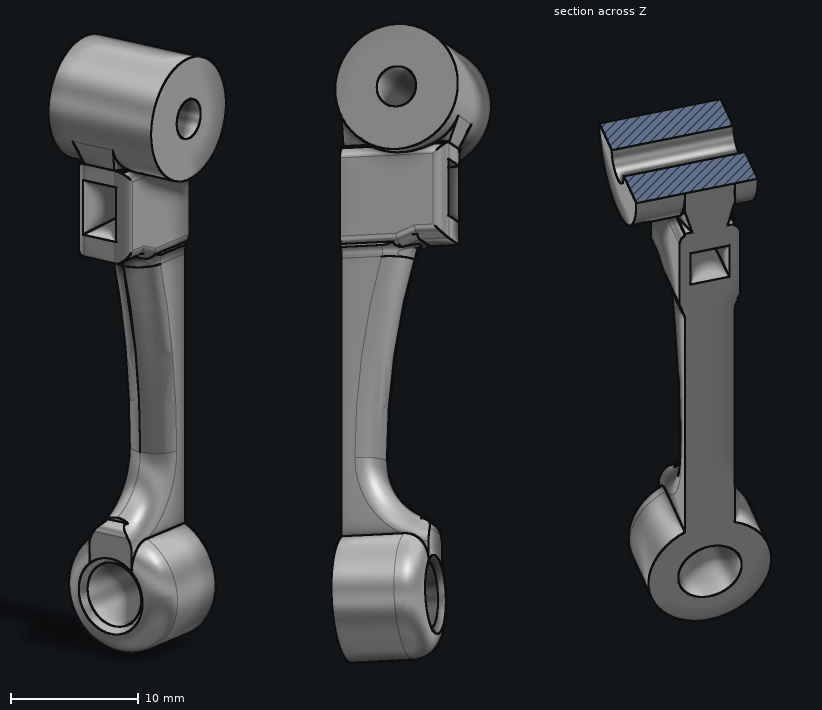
import cadquery as cq
import math


eye_radius = 5.05
eye_depth = 7.1
eye_rounding = 2.0
bore_radius = 2.6
bore_chamfer = 0.5

barrel_radius = 5.0
barrel_length = 10.0
barrel_left = -3.95
barrel_bore_radius = 1.6
overall_height = 50.1
barrel_z = overall_height - eye_radius - barrel_radius

arm_half_width = 2.05
arm_waist_depth = 3.15
arm_waist_z = 10.85
arm_rounding = arm_half_width - 0.005
upper_curve_radius = 57.6
flare_radius = 5.0
arm_toe_z = 2.5
eye_corner_radius = 0.9
eye_corner_top = 5.95

block_half_width = 2.5
block_depth = 8.6
block_top = 35.8
block_front_bottom = 28.15
block_back_bottom = 27.55
heel_start_depth = 4.75
heel_length = 1.5
block_rounding = 1.0

collar_radius = 1.6
collar_bottom = 26.85
collar_half_width = 2.3

neck_tangent_angle = 22.0
neck_corner_width = 0.6
neck_front_corner_depth = 1.0
neck_back_corner_depth = 2.15
neck_back_corner_height = 2.25

window_width = 3.2
window_front_bottom = 29.95
window_front_top = 34.45
window_back_bottom = 30.4
window_back_top = 33.65


def extrude_side(outline, half_width):
    """Extrude a (Y, Z) outline evenly to both sides of X = 0."""
    return outline.close().extrude(half_width, both=True)


def make_eye():
    ring = cq.Workplane("XZ").circle(eye_radius).extrude(eye_depth)
    return ring.faces("<Y").edges().fillet(eye_rounding)


def upper_curve_depth(z):
    """Depth of the arm's front at a height above the waist."""
    rise = z - arm_waist_z
    return arm_waist_depth + upper_curve_radius - math.sqrt(upper_curve_radius**2 - rise**2)


def make_arm():
    mid_z = (arm_waist_z + block_front_bottom) / 2
    top_z = block_front_bottom + block_rounding
    flare_center = arm_waist_depth + flare_radius
    flare_mid = flare_radius * math.sqrt(0.5)
    outline = (
        cq.Workplane("YZ")
        .moveTo(0, top_z)
        .lineTo(-upper_curve_depth(top_z), top_z)
        .threePointArc((-upper_curve_depth(mid_z), mid_z), (-arm_waist_depth, arm_waist_z))
        .threePointArc(
            (-flare_center + flare_mid, arm_waist_z - flare_mid),
            (-flare_center, arm_waist_z - flare_radius),
        )
        .lineTo(-flare_center, arm_toe_z)
        .lineTo(0, arm_toe_z)
    )
    arm = extrude_side(outline, arm_half_width)
    front_edges = cq.selectors.BoxSelector(
        (-block_half_width, -2 * flare_center, arm_toe_z),
        (block_half_width, -arm_waist_depth / 2, block_front_bottom),
    )
    arm = arm.edges(front_edges).edges("%CIRCLE").fillet(arm_rounding)
    envelope = extrude_side(
        cq.Workplane("YZ")
        .moveTo(0, arm_toe_z)
        .lineTo(-eye_depth, arm_toe_z)
        .lineTo(-eye_depth, eye_corner_top - eye_corner_radius)
        .radiusArc((-eye_depth + eye_corner_radius, eye_corner_top), eye_corner_radius)
        .lineTo(-eye_depth + eye_corner_radius, top_z)
        .lineTo(0, top_z),
        arm_half_width,
    )
    return arm.intersect(envelope)


def make_block():
    heel_end = heel_start_depth + heel_length
    outline = (
        cq.Workplane("YZ")
        .moveTo(0, block_top)
        .lineTo(-block_depth, block_top)
        .lineTo(-block_depth, block_front_bottom)
        .lineTo(-heel_end, block_front_bottom)
        .lineTo(-heel_start_depth, block_back_bottom)
        .lineTo(0, block_back_bottom)
    )
    block = extrude_side(outline, block_half_width)
    return block.faces("<X or >X").edges("not(>Y)").fillet(block_rounding)


def make_collar():
    """Concave fillet around the arm: straight along its sides, revolved around its front."""
    mid = collar_radius * math.sqrt(0.5)
    fillet_end = arm_half_width + collar_radius
    top = collar_bottom + collar_radius
    axis_y = arm_half_width - upper_curve_depth(collar_bottom)
    half_profile = (
        cq.Workplane("XZ", origin=(0, axis_y, 0))
        .moveTo(0, collar_bottom)
        .lineTo(arm_half_width, collar_bottom)
        .threePointArc((fillet_end - mid, collar_bottom + mid), (fillet_end, top))
        .lineTo(0, top)
        .close()
    )
    side = half_profile.extrude(axis_y, combine=False)
    front = half_profile.wires().toPending().revolve(180, (0, 0, 0), (0, -1, 0))
    collar = side.union(side.mirror("YZ")).union(front)
    limits = cq.Workplane("XY", origin=(0, 0, collar_bottom)).box(
        2 * collar_half_width, 2 * block_depth, collar_radius, centered=(True, True, False)
    )
    return collar.intersect(limits)


def make_tetrahedron(corners):
    """Solid whose four faces each leave out one of the four corners."""
    faces = []
    for skipped in range(4):
        triangle = [cq.Vector(*p) for i, p in enumerate(corners) if i != skipped]
        faces.append(cq.Face.makeFromWires(cq.Wire.makePolygon(triangle, close=True)))
    return cq.Solid.makeSolid(cq.Shell.makeShell(faces))


def make_neck():
    angle = math.radians(neck_tangent_angle)
    tangent_depth = barrel_radius * (1 + math.cos(angle))
    tangent_z = barrel_z - barrel_radius * math.sin(angle)
    outline = (
        cq.Workplane("YZ")
        .moveTo(0, barrel_z)
        .lineTo(-barrel_radius, barrel_z)
        .lineTo(-tangent_depth, tangent_z)
        .lineTo(-block_depth, block_top)
        .lineTo(-block_depth + block_rounding, block_top - block_rounding)
        .lineTo(0, block_top - block_rounding)
    )
    neck = extrude_side(outline, arm_half_width)
    for side in (-1, 1):
        outer_x = side * arm_half_width
        inner_x = side * (arm_half_width - neck_corner_width)
        corner_cuts = (
            (-block_depth, -block_depth + neck_front_corner_depth, -tangent_depth, tangent_z),
            (0, -neck_back_corner_depth, 0, block_top + neck_back_corner_height),
        )
        for corner_y, inward_y, tip_y, tip_z in corner_cuts:
            corners = [
                (outer_x, corner_y, block_top),
                (inner_x, corner_y, block_top),
                (outer_x, inward_y, block_top),
                (outer_x, tip_y, tip_z),
            ]
            neck = neck.cut(cq.Workplane(make_tetrahedron(corners)))
    return neck


def make_barrel_cylinder(radius):
    """Cylinder along the barrel axis, over the full length of the barrel."""
    return (
        cq.Workplane("YZ", origin=(barrel_left, -barrel_radius, barrel_z))
        .circle(radius)
        .extrude(barrel_length)
    )


def make_window():
    outline = (
        cq.Workplane("YZ")
        .moveTo(0, window_back_bottom)
        .lineTo(-block_depth, window_front_bottom)
        .lineTo(-block_depth, window_front_top)
        .lineTo(0, window_back_top)
    )
    return extrude_side(outline, window_width / 2)


def make_eye_bore():
    profile = (
        cq.Workplane("XY")
        .lineTo(bore_radius, 0)
        .lineTo(bore_radius, -eye_depth + bore_chamfer)
        .lineTo(bore_radius + bore_chamfer, -eye_depth)
        .lineTo(0, -eye_depth)
        .close()
    )
    return profile.revolve(360, (0, 0, 0), (0, 1, 0))


body = make_arm().union(make_collar()).union(make_block()).union(make_neck())
body = body.union(make_barrel_cylinder(barrel_radius)).union(make_eye())
result = body.cut(make_window()).cut(make_eye_bore()).cut(make_barrel_cylinder(barrel_bore_radius))